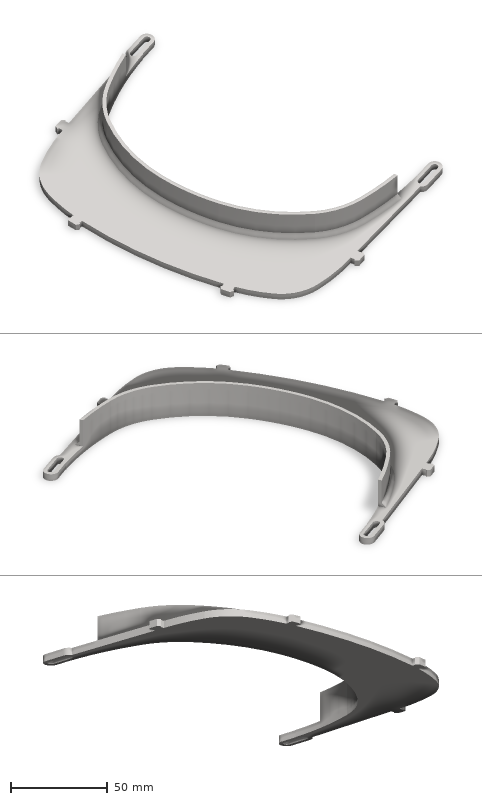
import cadquery as cq
import math


plate_thickness = 4.0
total_height = 19.6
wall_thickness = 2.0
chamfer_size = 2.5
wall_end_y = 107.5

inner_start_y = 40.4
inner_arcs = [(125.7, 8.0), (90.8, 31.7), (44.8, 33.1), (162.5, 15.7)]
outer_start_y = 0.5
outer_arcs = [(263.6, 10.1), (95.7, 14.6), (28.5, 50.1), (101.0, 14.0)]

eye_x = 88.5
eye_radius = 4.1
eye_top_y = 141.0
eye_spacing = 12.9
slot_radius = 1.9
arm_outer_x = 90.5

tab_face_width = 5.2
tab_barb_width = 7.8
tab_barb_depth = 1.9
tab_neck_width = 6.2
tab_neck_depth = 2.5
tab_root_depth = 6.7
side_tab_face_x = 93.5
side_tab_y = 59.2
front_tab_x = 47.3
front_tab_tilt = 8.0

eye_upper_y = eye_top_y - eye_radius
eye_lower_y = eye_upper_y - eye_spacing
eye_middle_y = (eye_upper_y + eye_lower_y) / 2


def arc_chain(start_y, arcs):
    """Return (middle, end) points of tangent arcs that start at (0, start_y) toward -X."""
    points = []
    center_x = 0
    center_y = start_y + arcs[0][0]
    turned = 0
    for i, (radius, sweep) in enumerate(arcs):
        if i > 0:
            shift = arcs[i - 1][0] - radius
            center_x -= shift * math.sin(math.radians(turned))
            center_y -= shift * math.cos(math.radians(turned))
        pair = []
        for angle in (turned + sweep / 2, turned + sweep):
            x = center_x - radius * math.sin(math.radians(angle))
            y = center_y - radius * math.cos(math.radians(angle))
            pair.append((x, y))
        points.append(pair)
        turned += sweep
    return points


def draw_forward(sketch, chain):
    """Append the arcs of the chain to a sketch that stands at the chain's start."""
    for middle, end in chain:
        sketch = sketch.threePointArc(middle, end)
    return sketch


def draw_backward(sketch, chain, start):
    """Append the arcs in reverse, from the chain's end back to its start."""
    ends = [start] + [end for _, end in chain[:-1]]
    for (middle, _), end in zip(reversed(chain), reversed(ends)):
        sketch = sketch.threePointArc(middle, end)
    return sketch


def wall_band(workplane, width):
    """Draw the closed band of the given width just outside the inner edge curve."""
    inner = arc_chain(inner_start_y, inner_arcs)
    widened_arcs = [(radius + width, sweep) for radius, sweep in inner_arcs]
    outer = arc_chain(inner_start_y - width, widened_arcs)
    sketch = workplane.moveTo(0, inner_start_y)
    sketch = draw_forward(sketch, inner).lineTo(*outer[-1][1])
    return draw_backward(sketch, outer, (0, inner_start_y - width)).close()


def half_plate():
    inner = arc_chain(inner_start_y, inner_arcs)
    outer = arc_chain(outer_start_y, outer_arcs)
    sketch = cq.Workplane("XY").moveTo(0, outer_start_y)
    sketch = draw_forward(sketch, outer)
    sketch = sketch.lineTo(-arm_outer_x, eye_lower_y).lineTo(*inner[-1][1])
    sketch = draw_backward(sketch, inner, (0, inner_start_y))
    return sketch.close().extrude(plate_thickness)


def upright_slot(radius):
    return (
        cq.Workplane("XY")
        .center(-eye_x, eye_middle_y)
        .slot2D(eye_spacing + 2 * radius, 2 * radius, 90)
        .extrude(plate_thickness)
    )


def snap_tab(x, y, rotation):
    """Barbed tab with its face centred on (x, y), pointing to -Y before rotation."""
    right_side = [
        (tab_face_width / 2, 0),
        (tab_barb_width / 2, tab_barb_depth),
        (tab_neck_width / 2, tab_neck_depth),
        (tab_neck_width / 2, tab_root_depth),
    ]
    left_side = [(-side_x, depth) for side_x, depth in reversed(right_side)]
    tab = cq.Workplane("XY").polyline(right_side + left_side).close().extrude(plate_thickness)
    return tab.rotate((0, 0, 0), (0, 0, 1), rotation).translate((x, y, 0))


def half_wall():
    wall = wall_band(cq.Workplane("XY"), wall_thickness).extrude(total_height)
    foot_plane = cq.Workplane("XY").workplane(offset=plate_thickness)
    foot = wall_band(foot_plane, wall_thickness + chamfer_size)
    foot = wall_band(foot.workplane(offset=chamfer_size), wall_thickness).loft(ruled=True)
    kept_region = (
        cq.Workplane("XY")
        .box(side_tab_face_x, wall_end_y, total_height, centered=False)
        .translate((-side_tab_face_x, 0, 0))
    )
    return wall.union(foot, clean=False).intersect(kept_region, clean=False)


front_tab_y = tab_face_width / 2 * math.sin(math.radians(front_tab_tilt))

half = half_plate().union(upright_slot(eye_radius)).cut(upright_slot(slot_radius))
half = half.union(snap_tab(-side_tab_face_x, side_tab_y, -90))
half = half.union(snap_tab(-front_tab_x, front_tab_y, -front_tab_tilt))
plate = half.union(half.mirror("YZ"))

left_wall = half_wall()
wall = left_wall.union(left_wall.mirror("YZ"), clean=False)

result = plate.union(wall, clean=False)